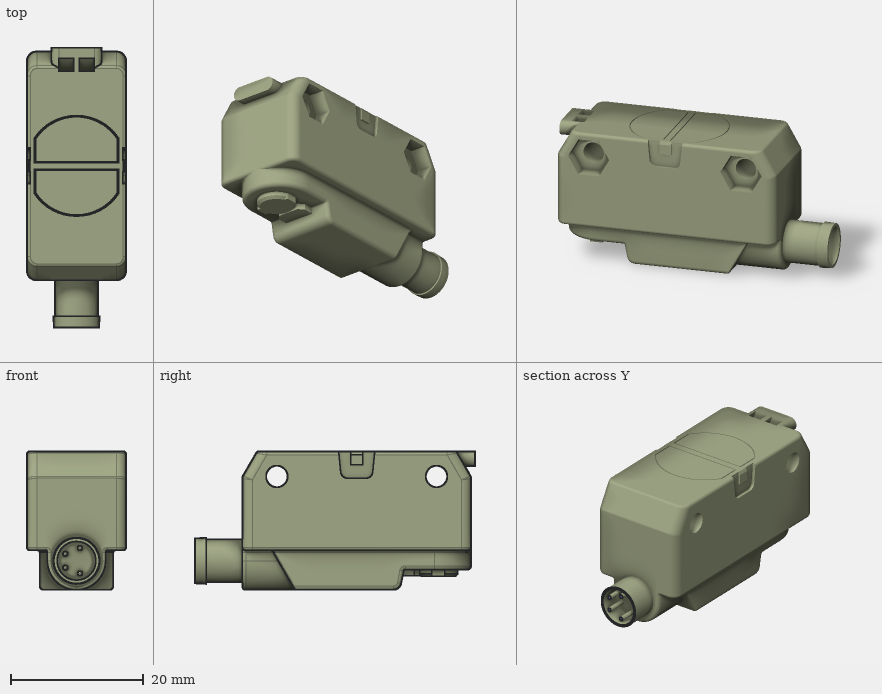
import cadquery as cq
import math

width = 15.0
length = 34.5
top_z = 20.9
base_z = 5.95
middle_y = length / 2
corner_radius = 1.48
edge_radius = 0.5
chamfer_run = 2.25
chamfer_drop = chamfer_run * math.tan(math.radians(60))

hole_spacing = 24.05
hole_z = 17.1
hole_diameter = 3.2
nut_flats = 5.6
nut_depth = 2.55

window_depth = 0.5
window_top_width = 5.45
window_bottom_width = 4.65
window_height = 4.05
window_radius = 1.0
latch_width = 1.8
latch_height = 2.03
latch_rise = 0.3
latch_bevel_width = 0.25
latch_bevel_drop = 0.5

lens_diameter = 15.15
lens_width = 12.65
lens_gap = 0.95
groove = 0.15

clip_width = 7.55
clip_height = 2.25
clip_end_y = 35.1
clip_start_y = 31.25
slot_width = 2.25
slot_gap = 0.8
slot_front_y = 31.55
slot_length = 1.9
slot_depth = slot_length * math.tan(math.radians(60))

block_width = 11.15
block_front_y = 7.95
block_front_slope = 60
step_z = 3.05
step_bottom_y = 23.75
step_top_y = 24.35
block_edge_radius = 0.65
step_corner_radius = 1.25
step_inner_radius = 0.2
slope_edge_radius = 0.2
cove_radius = 0.25

overlap = 0.85
slice_half = 0.005

knob_y = 29.55
knob_radius = 2.95
knob_height = 1.0
knob_chamfer = 0.42
knob_lug_width = 1.95
guide_height = 0.93
guide_back_y = 26.75
guide_flare_y = 25.92
guide_back_width = 3.55
guide_front_width = 5.05

plug_z = 4.4
collar_length = 8.45
tube_diameter = 6.5
flange_root_diameter = 7.0
flange_tip_diameter = 6.85
flange_length = 1.7
plug_length = 7.15
bore_diameter = 5.83
bore_depth = 5.9
pin_diameter = 0.7
pin_circle_radius = 2.0
pin_angles = (75, 148, 212, 285)
pin_recess = 2.6
pin_tip_radius = 0.3


def make_collar():
    """U-shaped shell around the plug, hanging from the housing."""
    radius = plug_z
    return (
        cq.Workplane("XZ")
        .moveTo(-radius, base_z + overlap)
        .lineTo(-radius, plug_z)
        .threePointArc((0, 0), (radius, plug_z))
        .lineTo(radius, base_z + overlap)
        .close()
        .extrude(-collar_length)
    )


def make_housing():
    """Rounded box with sloping upper ends, and the collar blended into its front."""
    side_outline = [
        (0, base_z),
        (length, base_z),
        (length, top_z - chamfer_drop),
        (length - chamfer_run, top_z),
        (chamfer_run, top_z),
        (0, top_z - chamfer_drop),
    ]
    box = cq.Workplane("YZ").polyline(side_outline).close().extrude(width / 2, both=True)
    slope_feet = cq.selectors.BoxSelector(
        (-width, -overlap, base_z + overlap),
        (width, length + overlap, top_z - overlap),
    )
    box = box.edges("|X").edges(slope_feet).fillet(edge_radius)
    box = box.edges("not |X").edges("not |Y").fillet(corner_radius)
    housing = box.faces(">Z").edges().fillet(edge_radius).union(make_collar())
    collar_joints = cq.selectors.BoxSelector(
        (-block_width / 2, 0, base_z - slice_half),
        (block_width / 2, collar_length, base_z + slice_half),
    )
    housing = housing.edges("|Y").edges(collar_joints).fillet(cove_radius)
    front_joint = cq.selectors.NearestToPointSelector((corner_radius - width / 2, 0, base_z))
    return housing.edges(front_joint).fillet(edge_radius)


def make_block_plan(front_y, bottom_z, height):
    """Prism with the half-round back end of the lower block."""
    half_width = block_width / 2
    round_center_y = length - half_width
    return (
        cq.Workplane("XY", origin=(0, 0, bottom_z))
        .moveTo(-half_width, front_y)
        .lineTo(half_width, front_y)
        .lineTo(half_width, round_center_y)
        .threePointArc((0, length), (-half_width, round_center_y))
        .close()
        .extrude(height)
    )


def make_lower_block():
    """Stepped block with a half-round back end and a sloping front."""
    block_top = base_z + overlap
    slope_run = block_top / math.tan(math.radians(block_front_slope))
    side_outline = [
        (block_front_y, 0),
        (step_bottom_y, 0),
        (step_top_y, step_z),
        (length, step_z),
        (length, block_top),
        (block_front_y - slope_run, block_top),
    ]
    block = cq.Workplane("YZ").polyline(side_outline).close().extrude(block_width / 2, both=True)
    block = block.intersect(make_block_plan(0, 0, block_top))
    block = block.faces("<Z").edges(">Y").fillet(step_corner_radius)
    step_corner = cq.selectors.NearestToPointSelector((0, step_top_y, step_z))
    block = block.edges(step_corner).fillet(step_inner_radius)
    rear_region = cq.selectors.BoxSelector(
        (-width, block_front_y, -overlap),
        (width, 2 * length, step_z + overlap / 2),
    )
    lower_edges = block.edges(rear_region).edges("not |X")
    block = lower_edges.fillet(block_edge_radius)
    return block.faces("<Y").edges("not >Z").fillet(slope_edge_radius)


def make_joint_cove():
    """Concave fillet where the lower block meets the housing underside."""
    stem_height = cove_radius + 10 * slice_half
    stem_bottom = base_z - stem_height
    slope_shift = (base_z - cove_radius) / math.tan(math.radians(block_front_slope))
    stem = make_block_plan(block_front_y - slope_shift, stem_bottom, stem_height)
    slab = (
        cq.Workplane("XY", origin=(0, middle_y, base_z))
        .rect(2 * width, 2 * length)
        .extrude(overlap / 2)
    )
    cove = slab.union(stem)
    joint_region = cq.selectors.BoxSelector(
        (-block_width, -length, base_z - slice_half),
        (block_width, length + overlap, base_z + slice_half),
    )
    cove = cove.edges(joint_region).fillet(cove_radius)
    footprint = (
        cq.Workplane("XY", origin=(0, middle_y, stem_bottom))
        .rect(width - 2 * edge_radius, length - 2 * edge_radius)
        .extrude(overlap)
        .edges("|Z")
        .fillet(corner_radius - edge_radius)
    )
    return cove.intersect(footprint)


def make_plug():
    """Flanged tube with a blind bore and contact pins, along -Y."""
    root_y = plug_length - flange_length
    half_profile = [
        (0, -overlap),
        (tube_diameter / 2, -overlap),
        (tube_diameter / 2, root_y),
        (flange_root_diameter / 2, root_y),
        (flange_tip_diameter / 2, plug_length),
        (bore_diameter / 2, plug_length),
        (bore_diameter / 2, plug_length - bore_depth),
        (0, plug_length - bore_depth),
    ]
    front_plane = cq.Workplane("XZ", origin=(0, 0, plug_z))
    plug = front_plane.polyline(half_profile).close().revolve(360, (0, 0), (0, 1))
    plug = plug.rotate((0, 0, plug_z), (1, 0, plug_z), 90)
    pin_places = [
        (
            pin_circle_radius * math.cos(math.radians(angle)),
            pin_circle_radius * math.sin(math.radians(angle)),
        )
        for angle in pin_angles
    ]
    pins = front_plane.pushPoints(pin_places).circle(pin_diameter / 2).extrude(plug_length - pin_recess)
    pins = pins.faces("<Y").edges().fillet(pin_tip_radius)
    return plug.union(pins)


def make_clip():
    """Round-sided tongue at the back of the top, flush with the top face."""
    center_z = top_z - clip_height / 2
    clip_length = clip_end_y - clip_start_y
    back_plane = cq.Workplane("XZ", origin=(0, clip_start_y, center_z))
    return back_plane.slot2D(clip_width, clip_height).extrude(-clip_length)


def make_clip_slots():
    """Two wedge pockets whose floors slope down toward the front."""
    wedge_outline = [
        (slot_front_y, top_z),
        (slot_front_y + slot_length, top_z),
        (slot_front_y, top_z - slot_depth),
    ]
    wedge = cq.Workplane("YZ").polyline(wedge_outline).close().extrude(slot_width / 2, both=True)
    offset = (slot_width + slot_gap) / 2
    return wedge.translate((-offset, 0, 0)).union(wedge.translate((offset, 0, 0)))


def make_knob():
    """Chamfered knob with side lugs and a flared guide, below the step."""
    bottom_z = step_z - knob_height
    knob = (
        cq.Workplane("XY", origin=(0, knob_y, bottom_z))
        .circle(knob_radius)
        .extrude(knob_height + overlap)
        .faces("<Z")
        .chamfer(knob_chamfer)
    )
    lugs = (
        cq.Workplane("XY", origin=(0, knob_y, bottom_z))
        .rect(2 * knob_radius, knob_lug_width)
        .extrude(knob_height + overlap)
    )
    guide_front_y = step_bottom_y - overlap
    guide = (
        cq.Workplane("XY", origin=(0, 0, step_z - guide_height))
        .moveTo(-guide_back_width / 2, guide_back_y)
        .lineTo(-guide_front_width / 2, guide_flare_y)
        .lineTo(-guide_front_width / 2, guide_front_y)
        .lineTo(guide_front_width / 2, guide_front_y)
        .lineTo(guide_front_width / 2, guide_flare_y)
        .lineTo(guide_back_width / 2, guide_back_y)
        .close()
        .extrude(guide_height + overlap)
    )
    return knob.union(lugs).union(guide)


def make_mounting_holes():
    """Two holes across the width, each with a nut pocket on the -X side."""
    side_plane = cq.Workplane("YZ", origin=(-width / 2, middle_y, hole_z))
    places = [(-hole_spacing / 2, 0), (hole_spacing / 2, 0)]
    nut_corners = nut_flats / math.cos(math.radians(30))
    holes = side_plane.pushPoints(places).circle(hole_diameter / 2).extrude(width)
    nuts = side_plane.pushPoints(places).polygon(6, nut_corners).extrude(nut_depth)
    return holes.union(nuts)


def make_window():
    """Tapered recess at the middle of the -X side, around a bevelled latch block."""
    recess = (
        cq.Workplane("YZ", origin=(-width / 2, middle_y, top_z))
        .moveTo(-window_top_width / 2, 0)
        .lineTo(-window_bottom_width / 2, -window_height)
        .lineTo(window_bottom_width / 2, -window_height)
        .lineTo(window_top_width / 2, 0)
        .close()
        .extrude(window_depth)
        .edges("|X and <Z")
        .fillet(window_radius)
    )
    latch = (
        cq.Workplane("XY")
        .box(latch_rise, latch_width, latch_height, centered=(False, True, False))
        .translate((window_depth - latch_rise - width / 2, middle_y, top_z - latch_height))
        .edges("|Y and <X and >Z")
        .chamfer(latch_bevel_drop, latch_bevel_width)
    )
    return recess.cut(latch)


def make_lens_grooves():
    """Narrow grooves tracing two halves of a circle trimmed at the sides."""
    plane = cq.Workplane("XY", origin=(0, middle_y, top_z - groove))

    def half_lens(inset):
        disc = plane.circle(lens_diameter / 2 - inset).extrude(groove)
        half_length = lens_diameter / 2
        trim = (
            plane.center(0, lens_gap / 2 + inset + half_length / 2)
            .rect(lens_width - 2 * inset, half_length)
            .extrude(groove)
        )
        return disc.intersect(trim)

    ring = half_lens(0).cut(half_lens(groove))
    return ring.union(ring.mirror("XZ", (0, middle_y, 0)))


window = make_window()
result = (
    make_housing()
    .union(make_joint_cove())
    .union(make_lower_block())
    .union(make_clip())
    .union(make_knob())
    .union(make_plug())
    .cut(make_clip_slots())
    .cut(make_mounting_holes())
    .cut(window)
    .cut(window.mirror("YZ"))
    .cut(make_lens_grooves())
)